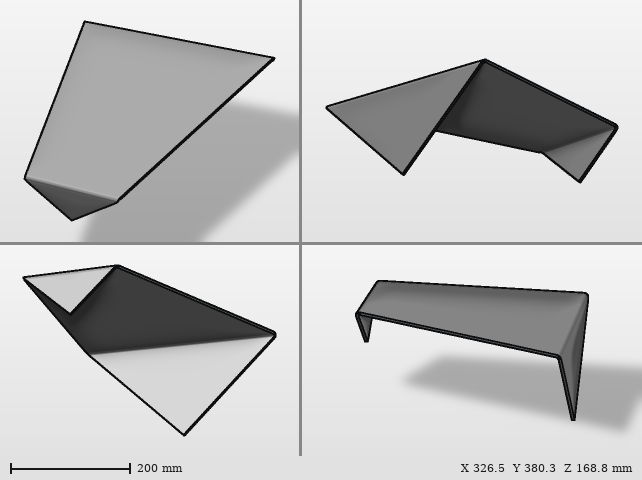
import cadquery as cq
import math

thickness = 5.0
bend_radius = 9.2
overall_height = 168.83
overall_width = 326.54

plate_front_width = 163.4
right_edge_slope = math.tan(math.radians(23.45))
back_fold_y = 367.7
back_fold_angle = 2.19
front_fold_y = 4.4
front_fold_angle = -1.65

back_apex_x = 167.6
back_apex_depth = overall_height
back_edge_angles = (45.6, 44.4)
front_apex_x = 83.7
front_apex_depth = 80.4
front_edge_angles = (47.6, 46.7)

fold_half_length = 500.0
BACK = 1
FRONT = -1


def fold_line_end(y_at_left, angle, inset):
    """Point where a fold line, moved by inset along Y, meets the right edge."""
    slope = math.tan(math.radians(angle))
    y = (y_at_left + inset + slope * plate_front_width) / (1 - slope * right_edge_slope)
    return plate_front_width + right_edge_slope * y, y


def plate_outline(bend_inset):
    """Plan outline between the two fold lines, each moved inwards by bend_inset."""
    front_inset = bend_inset / math.cos(math.radians(front_fold_angle))
    back_inset = bend_inset / math.cos(math.radians(back_fold_angle))
    return cq.Workplane("XY").polyline([
        (0, front_fold_y + front_inset),
        fold_line_end(front_fold_y, front_fold_angle, front_inset),
        fold_line_end(back_fold_y, back_fold_angle, -back_inset),
        (0, back_fold_y - back_inset),
    ]).close()


def folded_flange(side, fold_y, fold_angle, apex_x, apex_depth, edge_angles):
    """Quarter-round bend and the triangular flange hanging from it."""
    angle = math.radians(fold_angle)
    origin = (0, fold_y, 0)
    along = (math.cos(angle), math.sin(angle), 0)
    towards_back = (-math.sin(angle), math.cos(angle), 0)
    towards_front = (math.sin(angle), -math.cos(angle), 0)

    inner_radius = bend_radius - thickness
    diagonal = math.sqrt(0.5)
    outer_mid = bend_radius * (1 - diagonal)
    inner_mid = bend_radius - inner_radius * diagonal
    stock = (
        cq.Workplane(cq.Plane(origin, towards_back, along))
        .moveTo(-side * bend_radius, 0)
        .threePointArc((-side * outer_mid, -outer_mid), (0, -bend_radius))
        .lineTo(0, -apex_depth)
        .lineTo(-side * thickness, -apex_depth)
        .lineTo(-side * thickness, -bend_radius)
        .threePointArc((-side * inner_mid, -inner_mid), (-side * bend_radius, -thickness))
        .close()
        .extrude(fold_half_length, both=True)
    )

    apex_along = apex_x / math.cos(angle)
    left_run, right_run = [apex_depth * math.tan(math.radians(a)) for a in edge_angles]
    triangle = (
        cq.Workplane(cq.Plane(origin, along, towards_front))
        .polyline([
            (apex_along, -apex_depth),
            (apex_along + right_run, 0),
            (apex_along - left_run, 0),
        ])
        .close()
        .extrude(2 * bend_radius, both=True)
    )
    return stock.intersect(triangle)


plate = plate_outline(bend_radius).extrude(-thickness)
plate_edges = plate_outline(0).extrude(-overall_height)
width_limit = cq.Workplane("XY").box(
    overall_width, 2 * fold_half_length, 2 * overall_height, centered=(False, True, True)
)
edge_limits = plate_edges.intersect(width_limit)

back_flange = folded_flange(
    BACK, back_fold_y, back_fold_angle, back_apex_x, back_apex_depth, back_edge_angles
)
front_flange = folded_flange(
    FRONT, front_fold_y, front_fold_angle, front_apex_x, front_apex_depth, front_edge_angles
)

result = (
    plate
    .union(back_flange.intersect(edge_limits))
    .union(front_flange.intersect(edge_limits))
)